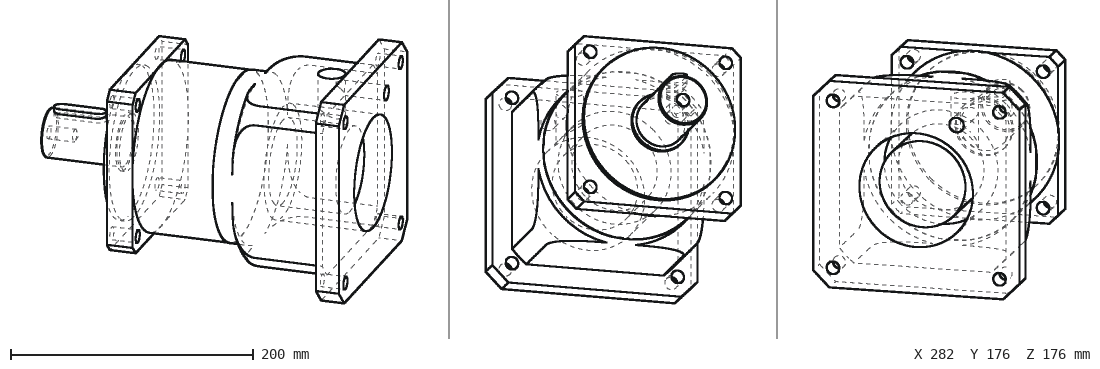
import cadquery as cq
import math

total_length = 282.0
collar_start = 66.3
pilot_start = 69.7
front_flange_start = 74.5
ring_start = 97.0
adapter_start = 166.7
shoulder_start = 183.5
motor_flange_thickness = 20.0
motor_flange_start = total_length - motor_flange_thickness

shaft_radius = 21.0
shaft_chamfer = 1.0
centre_hole_radius = 5.4
centre_hole_depth = 22.5
drill_tip_angle = 118.0
collar_radius = 24.3
pilot_radius = 65.0
ring_radius = 72.0

key_start = 4.8
key_length = 45.0
key_width = 12.7
key_height = 8.0
key_top = 24.3

body_width = 142.0
front_flange_chamfer = 7.5
front_hole_offset = 58.0
front_hole_radius = 5.4

adapter_neck_radius = 72.2
shoulder_fillet = 20.0
adapter_corner_radius = adapter_neck_radius + shoulder_fillet

motor_flange_width = 176.0
motor_flange_chamfer = 13.8
motor_hole_offset = body_width / 2
motor_hole_radius = 5.4

bore_start = shoulder_start + shoulder_fillet
bore_radius = 48.5
hub_radius = 36.7
hub_end = motor_flange_start
window_x = 236.3
window_y = 29.0
window_radius = 11.3
cross_hole_y = 34.5
cross_hole_z = 57.8
cross_hole_radius = 6.2


def disc(start, end, radius):
    """Solid cylinder along X."""
    return cq.Workplane("YZ", origin=(start, 0, 0)).circle(radius).extrude(end - start)


def chamfered_plate(start, end, width, chamfer):
    """Square plate facing X with its four corners cut off."""
    plate = cq.Workplane("YZ", origin=(start, 0, 0)).rect(width, width).extrude(end - start)
    return plate.edges("|X").chamfer(chamfer)


def corner_holes(start, end, offset, radius):
    """Four holes along X on the corners of a square."""
    return (
        cq.Workplane("YZ", origin=(start, 0, 0))
        .rect(2 * offset, 2 * offset, forConstruction=True)
        .vertices()
        .circle(radius)
        .extrude(end - start)
    )


def make_key():
    """Parallel key with round ends, lying along X."""
    return (
        cq.Workplane("XY", origin=(key_start + key_length / 2, 0, key_top - key_height))
        .slot2D(key_length, key_width)
        .extrude(key_height)
    )


def make_centre_hole():
    """Drilled blind hole in the shaft end: a straight bore with a conical tip."""
    tip_depth = centre_hole_radius / math.tan(math.radians(drill_tip_angle / 2))
    tip = cq.Solid.makeCone(
        centre_hole_radius,
        0,
        tip_depth,
        pnt=cq.Vector(centre_hole_depth, 0, 0),
        dir=cq.Vector(1, 0, 0),
    )
    return disc(0, centre_hole_depth, centre_hole_radius).union(cq.Workplane(tip))


def make_shaft():
    """Output shaft with a chamfered end and a centre hole."""
    shaft = disc(0, collar_start, shaft_radius).faces("<X").chamfer(shaft_chamfer)
    return shaft.cut(make_centre_hole())


def make_front_flange():
    """Output-side mounting flange with four through holes."""
    flange = chamfered_plate(front_flange_start, ring_start, body_width, front_flange_chamfer)
    return flange.cut(
        corner_holes(front_flange_start, ring_start, front_hole_offset, front_hole_radius)
    )


def make_adapter():
    """Neck, rounded shoulder and corners turned about X, then trimmed to a square."""
    corners = disc(shoulder_start, motor_flange_start, adapter_corner_radius)
    corners = corners.faces("<X").edges().fillet(shoulder_fillet)
    turned = disc(adapter_start, shoulder_start, adapter_neck_radius).union(corners)
    square = cq.Workplane("YZ", origin=(adapter_start, 0, 0)).rect(body_width, body_width)
    return turned.intersect(square.extrude(motor_flange_start - adapter_start))


def make_motor_flange():
    """Input-side mounting flange with four through holes."""
    flange = chamfered_plate(
        motor_flange_start, total_length, motor_flange_width, motor_flange_chamfer
    )
    return flange.cut(
        corner_holes(motor_flange_start, total_length, motor_hole_offset, motor_hole_radius)
    )


def make_window():
    """Round access hole from the top flat into the motor bore."""
    return (
        cq.Workplane("XY").center(window_x, window_y).circle(window_radius).extrude(body_width / 2)
    )


def make_cross_hole():
    """Small hole from the motor face into the side of the window."""
    return (
        cq.Workplane("YZ", origin=(window_x, 0, 0))
        .center(cross_hole_y, cross_hole_z)
        .circle(cross_hole_radius)
        .extrude(total_length - window_x)
    )


def make_gearbox(key):
    """Shaft, flanges, ring and adapter as one body, with a seat cut for the key."""
    gearbox = (
        make_shaft()
        .union(disc(collar_start, pilot_start, collar_radius))
        .union(disc(pilot_start, front_flange_start, pilot_radius))
        .union(make_front_flange())
        .union(disc(ring_start, adapter_start, ring_radius))
        .union(make_adapter())
        .union(make_motor_flange())
    )
    gearbox = gearbox.cut(disc(bore_start, total_length, bore_radius))
    gearbox = gearbox.cut(make_window()).cut(make_cross_hole())
    gearbox = gearbox.union(disc(bore_start, hub_end, hub_radius))
    return gearbox.cut(key)


key = make_key()
gearbox = make_gearbox(key)

result = cq.Compound.makeCompound([gearbox.val(), key.val()])